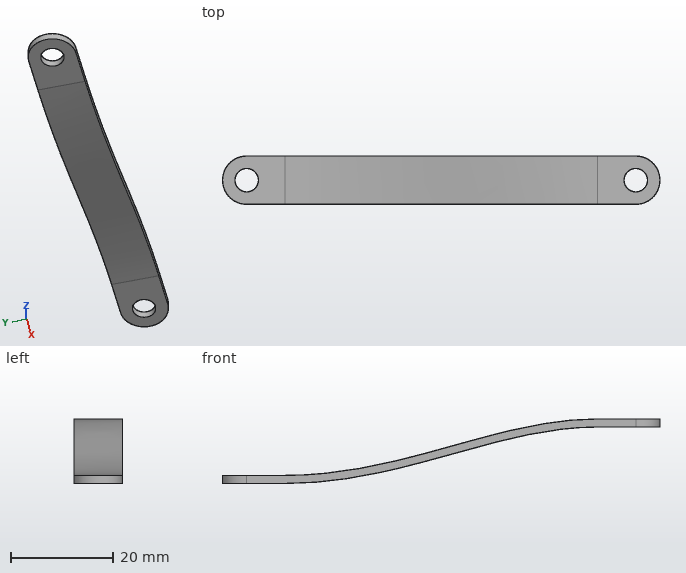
import cadquery as cq

length = 85.7
width = 9.5
height = 12.7
thickness = 1.6
hole_diameter = 4.55
tab_length = 12.3
lower_handle = 23.3
upper_handle = 19.9

rise = height - thickness
end_radius = width / 2
bend_start = tab_length
bend_end = length - tab_length


def make_strip():
    """S-bent strip of constant vertical thickness with flat tabs, extruded across Y."""
    lower_curve = [
        (bend_start, 0),
        (bend_start + lower_handle, 0),
        (bend_end - upper_handle, rise),
        (bend_end, rise),
    ]
    upper_curve = [(x, z + thickness) for x, z in reversed(lower_curve)]
    return (
        cq.Workplane("XZ", origin=(0, width / 2, 0))
        .moveTo(0, 0)
        .lineTo(bend_start, 0)
        .bezier(lower_curve)
        .lineTo(length, rise)
        .lineTo(length, height)
        .lineTo(bend_end, height)
        .bezier(upper_curve)
        .lineTo(0, thickness)
        .close()
        .extrude(width)
    )


def make_plan_outline():
    """Full-height stadium with a hole centred on each rounded end."""
    hole_centers = [(end_radius, 0), (length - end_radius, 0)]
    outline = cq.Workplane("XY").center(length / 2, 0).slot2D(length, width).extrude(height)
    holes = cq.Workplane("XY").pushPoints(hole_centers).circle(hole_diameter / 2).extrude(height)
    return outline.cut(holes)


result = make_strip().intersect(make_plan_outline())